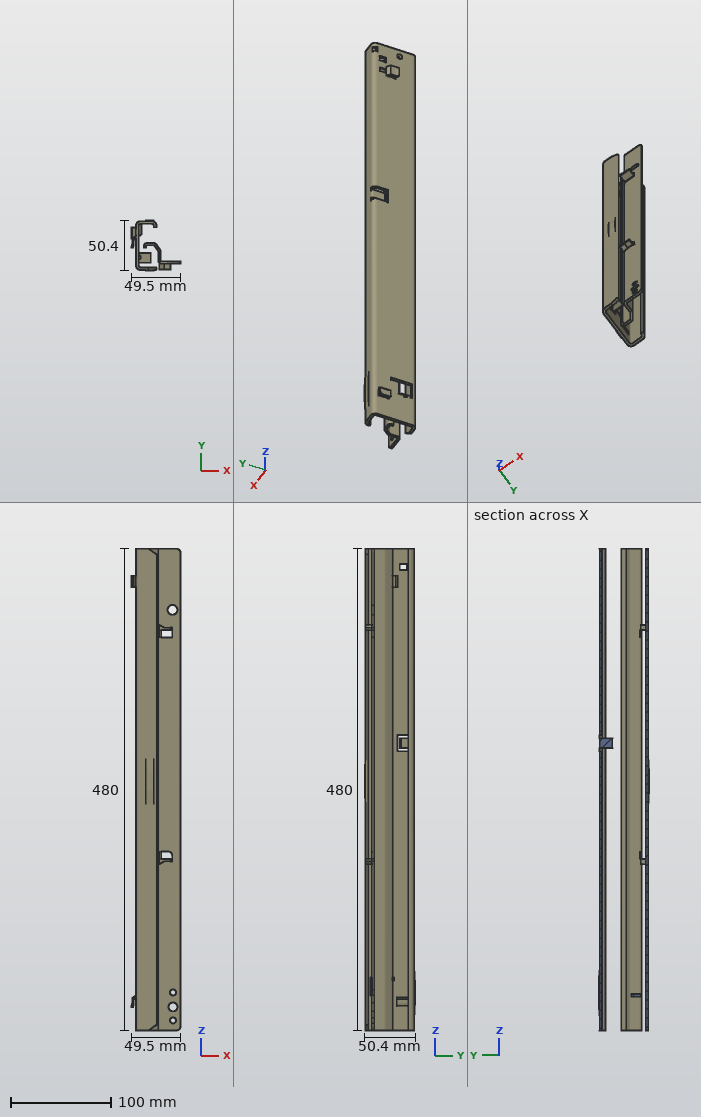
import cadquery as cq
import math

length = 480.0
sheet = 3.0
rail_sheet = 2.5
inner_bend = 2.0
rail_bend = 0.7
overrun = 5.0

channel_depth = 49.0
flange_reach = 20.5
lip_depth = 6.0
tip_round = 1.2
tip_bevel_width = 8.0
tip_bevel_height = 6.0

pad_height = 0.7
pad_left = 9.5
pad_right = 18.0
pad_length = 44.0
pad_flat_length = 18.0
front_pad_z = 248.0
back_pad_z = 37.5

round_hole_y, round_hole_z = 19.0, 472.0
round_hole_outer, round_hole_inner = 6.0, 3.0
square_hole_y, square_hole_z = 38.0, 462.0
square_hole_width, square_hole_height = 7.0, 6.0
recess_y, recess_z = 38.0, 447.5
recess_width, recess_height, recess_depth = 6.0, 5.0, 1.5
corner_notch_y, corner_notch_bottom, corner_notch_top = 43.5, 469.5, 474.5

window_y, window_bottom, window_top = 32.0, 278.5, 294.0
tongue_y, tongue_gap, tongue_bevel, tongue_bend = 34.0, 3.0, 2.0, 2.5

hook_length = 12.0
hook_width = 11.5
hook_thickness = 2.0
hook_rise = 4.0
hook_tip_rise = 5.0
hook_ramp = 3.0
hook_flare = 4.0
hook_corner = 1.5
side_hook_y, side_hook_z = 34.0, 447.5
down_hook_y, down_hook_z = 37.0, 35.0

shelf_window_front, shelf_window_back = 5.5, 20.5
shelf_window_bottom, shelf_window_top = 35.0, 53.0
shelf_front, shelf_back, shelf_reach = 7.0, 17.5, 15.0
shelf_hole_y, shelf_hole_radius = 13.0, 2.0
slit_end_y, slit_height = 29.0, 3.0

rail_right = 44.5
rail_flange_y = 7.5
rail_web_x = 23.5
rail_slope_bottom_y = 19.0
rail_slope_top_x = 18.5
rail_top_y = 26.0
rail_lip_x = 9.0
rail_lip_end_y = 22.0
rail_corner = 4.5

rail_holes = [(36.5, 419.0, 9.5), (37.0, 38.0, 6.0), (37.0, 23.5, 8.5), (37.0, 10.0, 6.0)]

tab_left, tab_right = 23.0, 34.5
tab_window_right = 36.0
tab_front_y = 0.5
tab_window_height = 9.5
gusset_width, gusset_height = 5.5, 3.0
upper_tab_z, lower_tab_z = 401.5, 168.5
lower_window_corner = 3.5


def box(x0, x1, y0, y1, z0, z1):
    """Box between two opposite corners."""
    return cq.Workplane("XY").box(x1 - x0, y1 - y0, z1 - z0, centered=False).translate((x0, y0, z0))


def side_points(points, offset):
    """Mitred parallel of an open centre line; a positive offset lies to its left."""
    headings = [math.atan2(b[1] - a[1], b[0] - a[0]) for a, b in zip(points, points[1:])]
    parallel = []
    for i, (x, y) in enumerate(points):
        before = headings[max(i - 1, 0)]
        after = headings[min(i, len(headings) - 1)]
        half_turn = math.remainder(after - before, math.tau) / 2
        normal = before + half_turn + math.pi / 2
        reach = offset / math.cos(half_turn)
        parallel.append((x + reach * math.cos(normal), y + reach * math.sin(normal)))
    return parallel


def folded_section(points, thickness, bend):
    """Sheet folded along a centre line and extruded along Z, with rounded bends."""
    left = side_points(points, thickness / 2)
    right = side_points(points, -thickness / 2)
    section = cq.Workplane("XY").polyline(left + right[::-1]).close().extrude(length)
    for i in range(1, len(points) - 1):
        (ax, ay), (bx, by), (cx, cy) = points[i - 1:i + 2]
        turns_left = (bx - ax) * (cy - by) - (by - ay) * (cx - bx) > 0
        inside, outside = (left[i], right[i]) if turns_left else (right[i], left[i])
        for corner, radius in ((inside, bend), (outside, bend + thickness)):
            edge = cq.selectors.NearestToPointSelector((*corner, length / 2))
            section = section.edges("|Z").edges(edge).fillet(radius)
    return section


def pad(face_y, outward, centre_z):
    """Raised pad with ramped ends on a flange face; outward is -1 or 1 along Y."""
    half, flat = pad_length / 2, pad_flat_length / 2
    top_y = face_y + outward * pad_height
    root_y = face_y - outward * sheet / 2
    outline = [(root_y, centre_z - half), (face_y, centre_z - half), (top_y, centre_z - flat),
               (top_y, centre_z + flat), (face_y, centre_z + half), (root_y, centre_z + half)]
    profile = cq.Workplane("YZ", origin=(pad_left, 0, 0)).polyline(outline).close()
    return profile.extrude(pad_right - pad_left)


def hook():
    """Hook reaching along -Z from its root at the origin, standing out along -X."""
    straight_end = hook_length - hook_flare
    inner_rise = hook_rise - hook_thickness
    outline = [(sheet, 0), (0, 0), (-hook_rise, -hook_ramp), (-hook_rise, -straight_end),
               (-hook_tip_rise, -hook_length), (hook_thickness - hook_tip_rise, -hook_length),
               (-inner_rise, -straight_end), (-inner_rise, -hook_ramp - hook_thickness / 2),
               (sheet, -hook_thickness)]
    body = cq.Workplane("XZ").polyline(outline).close().extrude(hook_width / 2, both=True)
    return body.faces("<Z").edges("|X").chamfer(hook_corner)


def hook_opening():
    """Opening left in the web under a hook."""
    half = hook_width / 2
    return box(-overrun, sheet + overrun, -half, half, hook_corner - hook_length, -hook_thickness)


def place_side_hook(shape):
    """Turn a hook so that it reaches along -Y, and move it to its root."""
    return shape.rotate((0, 0, 0), (1, 0, 0), -90).translate((0, side_hook_y, side_hook_z))


def place_down_hook(shape):
    """Move a hook, still reaching along -Z, to its root."""
    return shape.translate((0, down_hook_y, down_hook_z))


def web_hole(y, z, width, height, depth):
    """Rectangular cut into the web from its outer face."""
    return box(-overrun, depth, y - width / 2, y + width / 2, z - height / 2, z + height / 2)


def add_tongue(channel):
    """Cut the window across the back bend and set the tongue behind it."""
    inner_x = 2 * sheet
    window = box(-overrun, inner_x, window_y, channel_depth + overrun, window_bottom, window_top)
    tongue = box(sheet, inner_x, tongue_y, channel_depth, window_bottom + tongue_gap, window_top - tongue_gap)
    tongue = tongue.faces("<Y").edges(">X").chamfer(tongue_bevel)
    tongue = tongue.faces(">Y").edges("<X").fillet(tongue_bend)
    return channel.cut(window).union(tongue)


def add_shelf(channel):
    """Cut the shelf opening with its side slit and relief hole, then add the shelf."""
    through = sheet + overrun
    window = box(-overrun, through, shelf_window_front, shelf_window_back,
                 shelf_window_bottom, shelf_window_top)
    slit = box(-overrun, through, shelf_window_back, slit_end_y,
               shelf_window_top - slit_height, shelf_window_top)
    shelf = box(0, shelf_reach, shelf_front, shelf_back,
                shelf_window_bottom - sheet / 2, shelf_window_bottom + sheet / 2)
    web_relief = cq.Workplane("YZ").center(shelf_hole_y, shelf_window_bottom).circle(shelf_hole_radius)
    shelf_relief = (cq.Workplane("XY", origin=(sheet, shelf_hole_y, shelf_window_bottom))
                    .circle(shelf_hole_radius).extrude(sheet / 2, both=True))
    channel = channel.cut(window).cut(slit).union(shelf)
    return channel.cut(web_relief.extrude(sheet)).cut(shelf_relief)


def bevel_flange_ends(channel):
    """Bevel both end corners of the front flange's free edge."""
    for end_z, inward in ((0, 1), (length, -1)):
        corner = (cq.Workplane("XZ", origin=(0, sheet, 0))
                  .moveTo(flange_reach, end_z)
                  .lineTo(flange_reach - tip_bevel_width, end_z)
                  .lineTo(flange_reach, end_z + inward * tip_bevel_height)
                  .close().extrude(sheet))
        channel = channel.cut(corner)
    return channel


def cut_countersunk_hole(channel):
    """Hole through the web that narrows from its outer to its inner face."""
    cone = (cq.Workplane("YZ").center(round_hole_y, round_hole_z).circle(round_hole_outer / 2)
            .workplane(offset=sheet).circle(round_hole_inner / 2).loft())
    return channel.cut(cone)


def make_channel():
    """Lipped channel with its pads, web openings, hooks, tongue and shelf."""
    half = sheet / 2
    back_y = channel_depth - half
    lip_x = flange_reach - half
    channel = folded_section([(flange_reach, half), (half, half), (half, back_y), (lip_x, back_y),
                              (lip_x, channel_depth - lip_depth)], sheet, inner_bend)
    for y in (0, sheet):
        edge = cq.selectors.NearestToPointSelector((flange_reach, y, length / 2))
        channel = channel.edges("|Z").edges(edge).fillet(tip_round)
    channel = bevel_flange_ends(channel)
    channel = channel.union(pad(0, -1, front_pad_z)).union(pad(channel_depth, 1, back_pad_z))

    through = sheet + overrun
    channel = cut_countersunk_hole(channel)
    square_hole = web_hole(square_hole_y, square_hole_z, square_hole_width, square_hole_height, through)
    recess = web_hole(recess_y, recess_z, recess_width, recess_height, recess_depth)
    corner_notch = box(-overrun, sheet, corner_notch_y, channel_depth + overrun,
                       corner_notch_bottom, corner_notch_top)
    channel = channel.cut(square_hole).cut(recess).cut(corner_notch)
    for place in (place_side_hook, place_down_hook):
        channel = channel.cut(place(hook_opening())).union(place(hook()))
    return add_shelf(add_tongue(channel))


def add_stop_tab(rail, root_z, inward, window_corner):
    """Tab and gusset at root_z, the window lying on the inward side (-1 down, 1 up)."""
    flange_front = rail_flange_y - rail_sheet / 2
    flange_back = rail_flange_y + rail_sheet / 2
    window_z = sorted((root_z, root_z + inward * tab_window_height))
    window = box(tab_left, tab_window_right, flange_front - overrun, flange_back, *window_z)
    if window_corner:
        window = window.edges("|Y and >X").edges(">Z" if inward > 0 else "<Z").fillet(window_corner)
    tab_z = sorted((root_z, root_z + inward * rail_sheet))
    tab = box(tab_left, tab_right, tab_front_y, flange_back, *tab_z)
    gusset = (cq.Workplane("XZ", origin=(0, flange_back, 0))
              .moveTo(tab_left, root_z)
              .lineTo(tab_left + gusset_width, root_z)
              .lineTo(tab_left, root_z - inward * gusset_height)
              .close().extrude(flange_back - tab_front_y))
    return rail.cut(window).union(tab).union(gusset)


def make_rail():
    """Stepped rail with its lip, flange holes and stop tabs."""
    rail = folded_section([(rail_right, rail_flange_y), (rail_web_x, rail_flange_y),
                           (rail_web_x, rail_slope_bottom_y), (rail_slope_top_x, rail_top_y),
                           (rail_lip_x, rail_top_y), (rail_lip_x, rail_lip_end_y)],
                          rail_sheet, rail_bend)
    rail = rail.faces(">X").edges("|Y").fillet(rail_corner)
    for x, z, diameter in rail_holes:
        hole = cq.Workplane("XZ").center(x, z).circle(diameter / 2).extrude(-rail_top_y)
        rail = rail.cut(hole)
    rail = add_stop_tab(rail, upper_tab_z, -1, 0)
    return add_stop_tab(rail, lower_tab_z, 1, lower_window_corner)


channel = make_channel()
rail = make_rail()

result = cq.Compound.makeCompound([channel.solids().val(), rail.solids().val()])